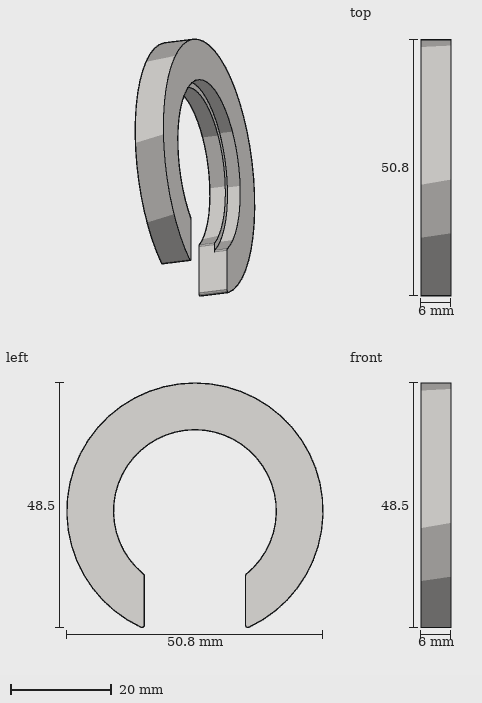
import cadquery as cq
import math

thickness = 6.0
outer_radius = 25.4
bore_radius = 16.1
gap_width = 20.0

lip_thickness = 3.3
recess_radius = 17.3

end_fillet = 0.5

lip_face_x = -thickness / 2
recess_floor_x = lip_face_x + lip_thickness
recess_depth = thickness - lip_thickness
gap_half = gap_width / 2


def disc(radius, start_x, length):
    """Solid cylinder on the X axis."""
    return cq.Workplane("YZ", origin=(start_x, 0, 0)).circle(radius).extrude(length)


def make_ring():
    """Closed ring with a lip at the -X side and a wider bore behind it."""
    ring = disc(outer_radius, lip_face_x, thickness)
    ring = ring.cut(disc(bore_radius, lip_face_x, thickness))
    return ring.cut(disc(recess_radius, recess_floor_x, recess_depth))


def cut_gap(ring):
    """Open the ring downwards with a parallel-sided gap."""
    gap = cq.Workplane("XY", origin=(0, 0, -outer_radius / 2)).box(thickness, gap_width, outer_radius)
    return ring.cut(gap)


def round_end_edges(ring, radius, start_x, length):
    """Round the two edges where the gap sides meet a cylinder of the given radius."""
    mid_x = start_x + length / 2
    corner_z = -math.sqrt(radius**2 - gap_half**2)
    for corner_y in (-gap_half, gap_half):
        nearest = cq.selectors.NearestToPointSelector((mid_x, corner_y, corner_z))
        ring = ring.edges(nearest).fillet(end_fillet)
    return ring


result = cut_gap(make_ring())
result = round_end_edges(result, outer_radius, lip_face_x, thickness)
result = round_end_edges(result, bore_radius, lip_face_x, lip_thickness)
result = round_end_edges(result, recess_radius, recess_floor_x, recess_depth)